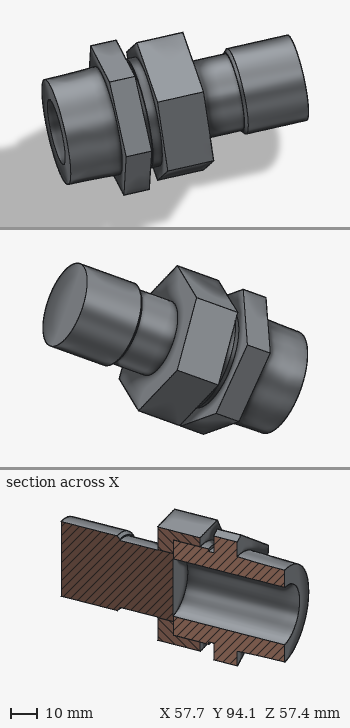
import cadquery as cq
import math

THREAD_END = 19.95
BODY_HEX_END = 29.9
RELIEF_END = 32.0
NUT_START = 35.6
NUT_SHOULDER = 47.05
NUT_END = 53.5
TAIL_COLLAR_START = 69.35
TAIL_CHAMFER_LENGTH = 1.1
TOTAL_LENGTH = 94.1

BORE_DIAMETER = 25.0
THREAD_TIP_DIAMETER = 40.6
THREAD_TAPER = 1 / 16
RELIEF_DIAMETER = 40.0
MALE_THREAD_DIAMETER = 42.2
TAIL_NECK_DIAMETER = 29.6
TAIL_CHAMFER_DIAMETER = 30.6
TAIL_DIAMETER = 33.0

HEX_ACROSS_FLATS = 50.0
HEX_ACROSS_CORNERS = HEX_ACROSS_FLATS / math.cos(math.radians(30))
BODY_HEX_TURN = -23.8


def cross_section(start):
    """Plane across the fitting axis, with its normal along +Y."""
    return cq.Workplane(cq.Plane(origin=(0, start, 0), xDir=(1, 0, 0), normal=(0, 1, 0)))


def cylinder(diameter, start, end):
    return cross_section(start).circle(diameter / 2).extrude(end - start)


def cone(start_diameter, end_diameter, start, end):
    return (
        cross_section(start)
        .circle(start_diameter / 2)
        .workplane(offset=end - start)
        .circle(end_diameter / 2)
        .loft(ruled=True)
    )


def hexagon(start, end, turn=0):
    """Hexagonal prism with corners on +X and -X before it is turned about Y."""
    prism = cross_section(start).polygon(6, HEX_ACROSS_CORNERS).extrude(end - start)
    return prism.rotate((0, 0, 0), (0, 1, 0), turn)


def make_adapter():
    """Tapered thread, hexagon, relief and male union thread, bored right through."""
    thread_base_diameter = THREAD_TIP_DIAMETER + THREAD_TAPER * THREAD_END
    return (
        cone(THREAD_TIP_DIAMETER, thread_base_diameter, 0, THREAD_END)
        .union(hexagon(THREAD_END, BODY_HEX_END, BODY_HEX_TURN))
        .union(cylinder(RELIEF_DIAMETER, BODY_HEX_END, RELIEF_END))
        .union(cylinder(MALE_THREAD_DIAMETER, RELIEF_END, NUT_SHOULDER))
        .cut(cylinder(BORE_DIAMETER, 0, NUT_SHOULDER))
    )


def make_union_nut():
    """Hexagonal nut that receives the adapter and passes the tail neck."""
    return (
        hexagon(NUT_START, NUT_END)
        .cut(cylinder(MALE_THREAD_DIAMETER, NUT_START, NUT_SHOULDER))
        .cut(cylinder(TAIL_NECK_DIAMETER, NUT_SHOULDER, NUT_END))
    )


def make_tail():
    """Tail seated against the adapter, with a chamfered wider outer end."""
    chamfer_end = TAIL_COLLAR_START + TAIL_CHAMFER_LENGTH
    return (
        cylinder(TAIL_NECK_DIAMETER, NUT_SHOULDER, TAIL_COLLAR_START)
        .union(cone(TAIL_CHAMFER_DIAMETER, TAIL_DIAMETER, TAIL_COLLAR_START, chamfer_end))
        .union(cylinder(TAIL_DIAMETER, chamfer_end, TOTAL_LENGTH))
    )


adapter = make_adapter()
union_nut = make_union_nut()
tail = make_tail()

result = cq.Compound.makeCompound([adapter.val(), union_nut.val(), tail.val()])